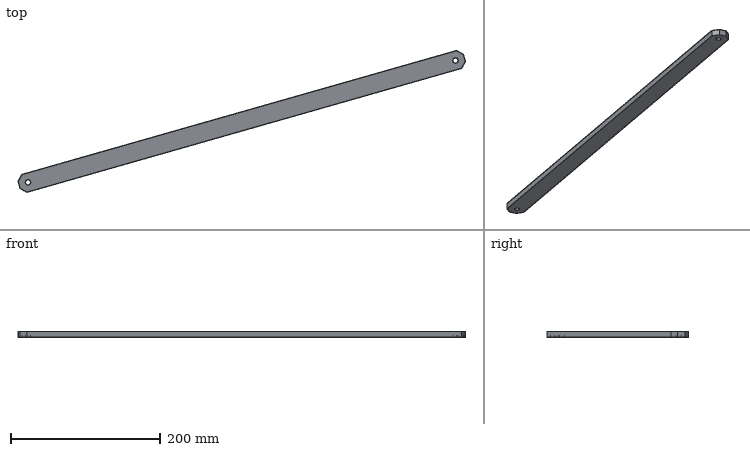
import cadquery as cq

bar_length = 621.236
bar_width = 25.0
thickness = 8.0
tilt_angle = 15.914
corner_chamfer = 7.5
hole_diameter = 6.75

hole_spacing = bar_length - bar_width


def make_bar():
    """Flat bar along X with its four corners cut off at 45 degrees."""
    blank = cq.Workplane("XY").rect(bar_length, bar_width).extrude(thickness)
    return blank.edges("|Z").chamfer(corner_chamfer)


def cut_end_holes(bar):
    """Through hole on the centreline near each end of the bar."""
    hole_centres = [(side * hole_spacing / 2, 0) for side in (-1, 1)]
    return bar.faces(">Z").workplane().pushPoints(hole_centres).hole(hole_diameter)


result = cut_end_holes(make_bar()).rotate((0, 0, 0), (0, 0, 1), tilt_angle)